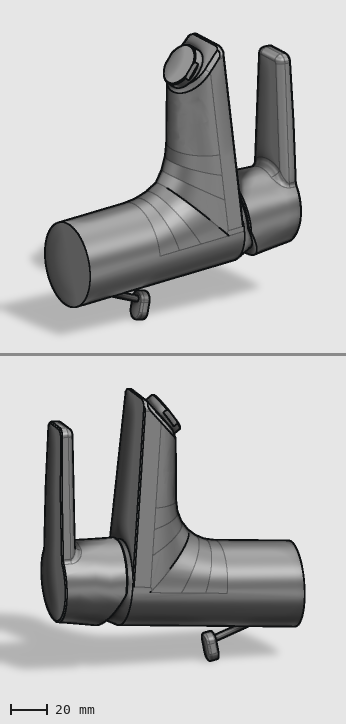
import cadquery as cq
import math

TILT = 5.0

BODY_RADIUS = 23.49
BODY_REAR = 98.8
BODY_OVERRUN = 7.6

SLAB_FRONT = 88.7
SPOUT_TOP = 122.4
TIP_HEIGHT = 105.4
TIP_HALF_WIDTH = 16.8
TIP_CORNER_RADIUS = 6.1
TIP_TOP = 105.1
REAR_CHAMFER = 0.8
BLEND_START = 44.7
BLEND_RADIUS = 27.0
BLEND_STEPS = 3
MOUTH_REAR = (87.8, 113.4)
MOUTH_FRONT = (67.5, 89.8)
MOUTH_BEVEL = 2.3
MOUTH_CUT_REACH = 3

OUTLET_DIAMETER = 24.0
OUTLET_CENTER = (71.1, 102.4)
OUTLET_ANGLE = 36.0
OUTLET_LENGTH = 9.2
OUTLET_CHAMFER = 0.6
FLAT_HALF_SPACING = 10.9
FLAT_DEPTH = 3.2

NECK_RADIUS = 19.0
NECK_END = 110.5
HUB_FRONT = 101.9
HUB_FRONT_RADIUS = 24.3
HUB_REAR = 140.8
HUB_REAR_RADIUS = 21.7
HUB_LIP = 0.8
SKIRT_LOW = (112.5, -24.0)

LEVER_FRONT = 127.8
LEVER_BASE_HALF_WIDTH = 18.0
LEVER_TIP_HALF_WIDTH = 11.5
LEVER_TOP = 99.6
LEVER_CORNER_RADIUS = 4.6
LEVER_EDGE_ROUND = 3.7
LEVER_ROOT_FILLET = 4.3
BACK_LOW = (134.6, -30.6)
BACK_MIDDLE = (136.3, 52.0)
BACK_HIGH = (135.0, 107.1)
BACK_CHAMFER = 0.8

ROD_DIAMETER = 3.5
ROD_ANGLE = 20.0
KNOB_CENTER = (46.4, -31.4)
KNOB_TILT = 11.0
KNOB_WIDTH = 10.5
KNOB_LENGTH = 16.2
KNOB_THICKNESS = 5.7
KNOB_END_RADIUS = 5.2
KNOB_ROUND = 1.2
ROD_RISE = 3.2
ROD_LENGTH = 33.7

WIDE = 91.8


def tilt(shape):
    return shape.rotate((0, 0, 0), (1, 0, 0), TILT)


def side_block(points):
    """Prism symmetric about X = 0 from a (y, z) outline."""
    return cq.Workplane("YZ").polyline(points).close().extrude(WIDE, both=True)


def cone(start, end, start_radius, end_radius):
    """Frustum about the level Y axis."""
    profile = [(0, start), (start_radius, start), (end_radius, end), (0, end)]
    return cq.Workplane("XY").polyline(profile).close().revolve(360, (0, 0), (0, 1))


def spout_half_width(height):
    return BODY_RADIUS + (TIP_HALF_WIDTH - BODY_RADIUS) * height / TIP_HEIGHT


def half_ellipse(base, tip):
    """Half-ellipse wire standing on a chord through base and bulging to tip, both (y, z)."""
    half_width = spout_half_width(base[1])
    center = cq.Vector(0, base[0], base[1])
    reach = cq.Vector(0, tip[0], tip[1]) - center
    across = cq.Vector(half_width, 0, 0)
    depth = reach.Length
    major, minor = max(depth, half_width), min(depth, half_width)
    normal = across.cross(reach)
    if half_width >= depth:
        arc = cq.Edge.makeEllipse(major, minor, center, normal, across, 0, 180)
    else:
        arc = cq.Edge.makeEllipse(major, minor, center, normal, reach, -90, 90)
    chord = cq.Edge.makeLine(center - across, center + across)
    return cq.Wire.assembleEdges([arc, chord])


def spout_front(height):
    """Level-frame Y of the spout front, which is upright once the body is tilted."""
    lean = math.radians(TILT)
    return (MOUTH_FRONT[0] + height * math.sin(lean)) / math.cos(lean)


def make_blend():
    """Saddle turning the top of the body into the spout, and the rounded spout above it."""
    pivot = (BLEND_START, BODY_RADIUS + BLEND_RADIUS)
    corner = math.degrees(math.atan2(SLAB_FRONT - pivot[0], pivot[1]))

    def section(angle):
        """Section on a ray from the pivot, its chord on the body axis or the slab front."""
        across = math.sin(math.radians(angle))
        down = math.cos(math.radians(angle))
        if angle <= corner:
            distance = pivot[1] / down
        else:
            distance = (SLAB_FRONT - pivot[0]) / across
        base = (pivot[0] + distance * across, pivot[1] - distance * down)
        tip = (pivot[0] + BLEND_RADIUS * across, pivot[1] - BLEND_RADIUS * down)
        return half_ellipse(base, tip)

    def sweep(start, end):
        step = (end - start) / BLEND_STEPS
        sections = [section(start + step * i) for i in range(BLEND_STEPS + 1)]
        return cq.Workplane(cq.Solid.makeLoft(sections, True))

    level = 90 - TILT
    rise = math.tan(math.radians(TILT)) * (SLAB_FRONT - spout_front(SPOUT_TOP))
    top = half_ellipse((SLAB_FRONT, SPOUT_TOP), (spout_front(SPOUT_TOP), SPOUT_TOP + rise))
    upper = cq.Workplane(cq.Solid.makeLoft([section(level), top], True))
    return sweep(0, corner).union(sweep(corner, level)).union(upper)


def make_slab():
    """Flat-sided rear of the spout, tapering upward."""
    low = spout_half_width(0)
    high = spout_half_width(SPOUT_TOP)
    return (
        cq.Workplane("XZ", origin=(0, BODY_REAR, 0))
        .polyline([(-low, 0), (low, 0), (high, SPOUT_TOP), (-high, SPOUT_TOP)])
        .close()
        .extrude(BODY_REAR - SLAB_FRONT)
        .faces(">Y").edges("not |X").chamfer(REAR_CHAMFER)
    )


def make_spout():
    """Spout with rounded top corners and a bevelled, slanted mouth."""
    tip_envelope = (
        cq.Workplane("XZ", origin=(0, WIDE + BODY_REAR, 0))
        .rect(2 * spout_half_width(TIP_TOP - TIP_CORNER_RADIUS), 2 * TIP_TOP).extrude(2 * WIDE + BODY_REAR)
        .edges("|Y").fillet(TIP_CORNER_RADIUS)
    )
    corner_zone = cq.Workplane("XY").box(
        WIDE, 4 * WIDE, WIDE, centered=(True, True, False)
    ).translate((0, 0, TIP_TOP - TIP_CORNER_RADIUS))
    spout = tilt(make_slab().union(make_blend()))

    dy = MOUTH_FRONT[0] - MOUTH_REAR[0]
    dz = MOUTH_FRONT[1] - MOUTH_REAR[1]
    low = (MOUTH_REAR[0] + MOUTH_CUT_REACH * dy, MOUTH_REAR[1] + MOUTH_CUT_REACH * dz)
    high = (MOUTH_REAR[0] - MOUTH_CUT_REACH * dy, MOUTH_REAR[1] - MOUTH_CUT_REACH * dz)
    spout = spout.cut(side_block([low, high, (low[0], high[1])]))
    outward = cq.Vector(0, dz, -dy)
    mouth = cq.selectors.DirectionMinMaxSelector(outward, True)
    spout = spout.faces(mouth).edges("not >Z").chamfer(MOUTH_BEVEL)
    return spout.cut(tilt(corner_zone.cut(tip_envelope)))


def make_body():
    """Tilted cylinder with an upright mounting face."""
    cylinder = tilt(cone(-BODY_OVERRUN, BODY_REAR, BODY_RADIUS, BODY_RADIUS))
    mounting_cut = side_block([(-WIDE, -WIDE), (0, -WIDE), (0, WIDE), (-WIDE, WIDE)])
    return cylinder.cut(mounting_cut)


def make_outlet():
    """Aerator disc with two wrench flats, facing forward and up."""
    facing = math.radians(OUTLET_ANGLE)
    face = cq.Plane(
        origin=(0, OUTLET_CENTER[0], OUTLET_CENTER[1]),
        xDir=(1, 0, 0),
        normal=(0, -math.cos(facing), math.sin(facing)),
    )
    disc = (
        cq.Workplane(face).circle(OUTLET_DIAMETER / 2).extrude(-OUTLET_LENGTH)
        .faces(cq.selectors.DirectionMinMaxSelector(face.zDir, True)).chamfer(OUTLET_CHAMFER)
    )
    between_flats = cq.Workplane(face).rect(2 * FLAT_HALF_SPACING, WIDE).extrude(-FLAT_DEPTH)
    flat_zone = cq.Workplane(face).rect(WIDE, WIDE).extrude(-FLAT_DEPTH)
    return disc.cut(flat_zone.cut(between_flats))


def make_handle():
    """Conical hub with a slanted skirt, joined to an upright tapered lever."""
    lip_start = HUB_FRONT + HUB_LIP
    hub = cone(lip_start, HUB_REAR, HUB_FRONT_RADIUS, HUB_REAR_RADIUS)
    hub = hub.union(cone(HUB_FRONT, lip_start, HUB_FRONT_RADIUS - HUB_LIP, HUB_FRONT_RADIUS))
    low = (HUB_FRONT + 2 * (SKIRT_LOW[0] - HUB_FRONT), 2 * SKIRT_LOW[1])
    hub = tilt(hub.cut(side_block([(HUB_FRONT, 0), low, (HUB_FRONT, low[1])])))

    lever = (
        cq.Workplane("XZ", origin=(0, HUB_REAR, 0))
        .polyline([
            (-LEVER_BASE_HALF_WIDTH, 0), (LEVER_BASE_HALF_WIDTH, 0),
            (LEVER_TIP_HALF_WIDTH, LEVER_TOP), (-LEVER_TIP_HALF_WIDTH, LEVER_TOP),
        ])
        .close()
        .extrude(HUB_REAR - LEVER_FRONT)
        .edges("|Y and >Z").fillet(LEVER_CORNER_RADIUS)
        .faces("<Y").edges("not <Z").fillet(LEVER_EDGE_ROUND)
    )
    handle = hub.union(lever)
    root = cq.selectors.BoxSelector(
        (-WIDE, LEVER_FRONT - 1.5, BODY_RADIUS), (WIDE, HUB_REAR - 1.5, LEVER_TOP / 2), boundingbox=True
    )
    handle = handle.edges(root).fillet(LEVER_ROOT_FILLET)

    back_envelope = (
        cq.Workplane("YZ").moveTo(*BACK_LOW).threePointArc(BACK_MIDDLE, BACK_HIGH)
        .lineTo(0, BACK_HIGH[1]).lineTo(0, BACK_LOW[1]).close().extrude(WIDE, both=True)
    )
    return handle.intersect(back_envelope).faces(">Y").chamfer(BACK_CHAMFER)


def make_popup():
    """Rounded pull knob on a thin rod rising into the underside of the body."""
    knob = (
        cq.Workplane("XZ").rect(KNOB_WIDTH, KNOB_LENGTH)
        .extrude(KNOB_THICKNESS / 2, both=True)
        .edges("|Y").fillet(KNOB_END_RADIUS)
        .faces("<Y or >Y").edges().fillet(KNOB_ROUND)
        .rotate((0, 0, 0), (1, 0, 0), -KNOB_TILT)
        .translate((0, *KNOB_CENTER))
    )
    climb = math.radians(ROD_ANGLE)
    rod_plane = cq.Plane(
        origin=(0, KNOB_CENTER[0], KNOB_CENTER[1] + ROD_RISE),
        xDir=(1, 0, 0),
        normal=(0, -math.cos(climb), math.sin(climb)),
    )
    return knob.union(cq.Workplane(rod_plane).circle(ROD_DIAMETER / 2).extrude(ROD_LENGTH))


neck = tilt(cone(BODY_REAR, NECK_END, BODY_RADIUS, NECK_RADIUS))

result = (
    make_body()
    .union(make_spout())
    .union(make_outlet())
    .union(neck)
    .union(make_handle())
    .union(make_popup())
)